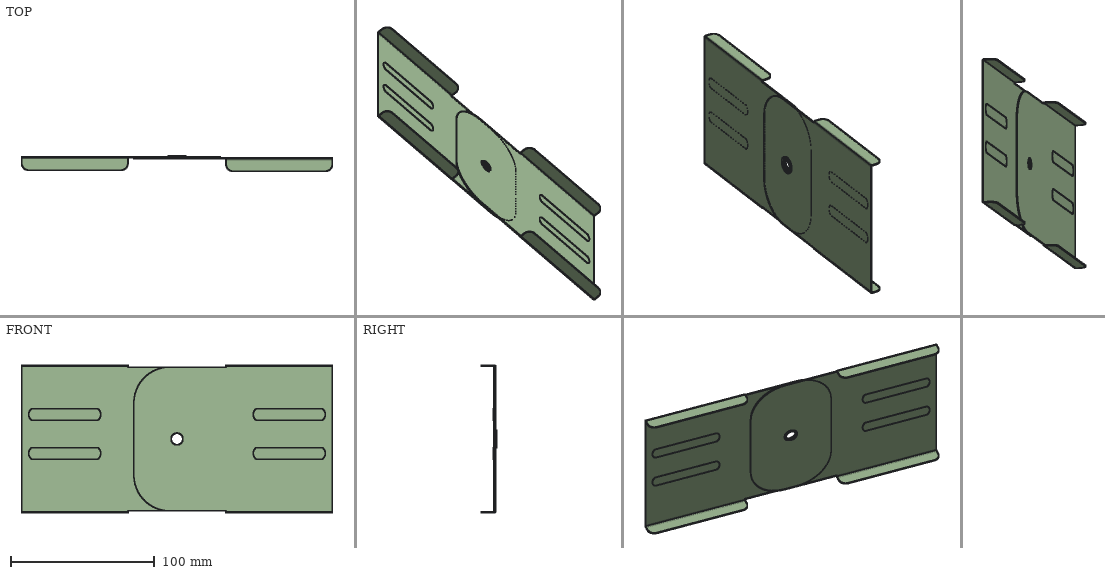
import cadquery as cq
import math

overall_length = 216.0
overall_height = 102.5
sheet = 0.75
bend_radius = 1.25
end_radius = 25.0
overlap_reach = 30.0

flange_length = 74.0
flange_depth = 9.5
flange_corner_radius = 5.0

pad_length = 50.0
pad_width = 8.0
pad_end_radius = 5.0
pad_rise = 0.2
pad_end_gap = 5.0
pad_heights = (17.0, -10.0)

bore_diameter = 8.0
tube_diameter = 9.5
collar_diameter = 12.0
collar_thickness = 0.75

half_length = overall_length / 2
half_height = overall_height / 2
web_half_height = half_height - bend_radius
plate_length = half_length + overlap_reach


def cylinder(diameter, y_start, y_end):
    """Cylinder on the pivot axis, running along Y."""
    profile = cq.Workplane("XZ", origin=(0, y_start, 0)).circle(diameter / 2)
    return profile.extrude(y_start - y_end)


def make_web(back_y):
    """Flat sheet with two rounded corners at its overlapping (-X) end."""
    web = (
        cq.Workplane("XZ", origin=(0, back_y, 0))
        .center((half_length - overlap_reach) / 2, 0)
        .rect(plate_length, 2 * web_half_height)
        .extrude(sheet)
    )
    return web.edges("|Y and <X").fillet(end_radius)


def make_flange(back_y):
    """Upper flange at the +X end: a bend rounded outside and sharp inside, and a wall with rounded corners."""
    bend_y = back_y - bend_radius
    tip_y = back_y - flange_depth
    arc_middle = bend_radius * math.cos(math.radians(45))
    flange = (
        cq.Workplane("YZ", origin=(half_length - flange_length, 0, 0))
        .moveTo(back_y, web_half_height)
        .threePointArc(
            (bend_y + arc_middle, web_half_height + arc_middle),
            (bend_y, half_height),
        )
        .lineTo(tip_y, half_height)
        .lineTo(tip_y, half_height - sheet)
        .lineTo(back_y - sheet, half_height - sheet)
        .lineTo(back_y - sheet, web_half_height)
        .close()
        .extrude(flange_length)
    )
    return flange.edges("|Z and <Y").fillet(flange_corner_radius)


def make_pads(back_y):
    """Raised round-ended pads on the front face."""
    pad_x = half_length - pad_end_gap - pad_length / 2
    half_width = pad_width / 2
    end_bulge = pad_end_radius - math.sqrt(pad_end_radius ** 2 - half_width ** 2)
    straight_end = pad_length / 2 - end_bulge
    pad = (
        cq.Workplane("XZ", origin=(pad_x, back_y - sheet, 0))
        .moveTo(-straight_end, -half_width)
        .hLineTo(straight_end)
        .threePointArc((pad_length / 2, 0), (straight_end, half_width))
        .hLineTo(-straight_end)
        .threePointArc((-pad_length / 2, 0), (-straight_end, -half_width))
        .close()
        .extrude(pad_rise)
    )
    pads = cq.Workplane("XZ")
    for height in pad_heights:
        pads = pads.add(pad.translate((0, 0, height)).val())
    return pads.combine()


def make_plate(back_y):
    """Flanged plate with its flanges at the +X end."""
    flange = make_flange(back_y)
    return (
        make_web(back_y)
        .union(flange)
        .union(flange.mirror("XY"))
        .union(make_pads(back_y))
    )


collar_back = sheet + collar_thickness

front_plate = (
    make_plate(0)
    .union(cylinder(tube_diameter, -sheet, collar_back))
    .union(cylinder(collar_diameter, sheet, collar_back))
    .cut(cylinder(bore_diameter, -sheet, collar_back))
)

rear_plate = make_plate(sheet).mirror("YZ").cut(cylinder(tube_diameter, 0, sheet))

result = cq.Compound.makeCompound([front_plate.val(), rear_plate.val()])